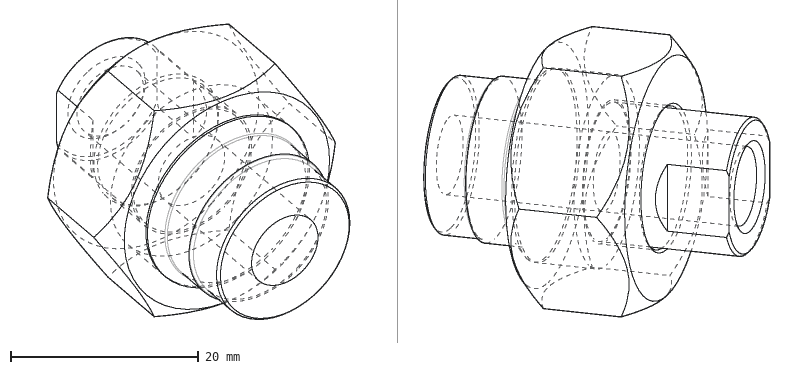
import cadquery as cq
import math

total_length = 34.0
bore_diameter = 8.57
edge_size = 0.3

nut_start = 9.45
nut_length = 13.5
nut_across_flats = 27.0
nut_face_diameter = 26.5
nut_hole_diameter = 15.5

stub_diameter = 15.0
stub_bore_mouth_diameter = 10.0
flat_spacing = 13.0
flat_length = 7.0

collar_diameter = 20.9
middle_diameter = 18.0
end_diameter = 17.2
collar_lip = 0.3
cone_root_radius = 0.4
step_position = 29.0

nut_end = nut_start + nut_length
shoulder_position = nut_start + nut_length / 2
nut_across_corners = nut_across_flats / math.cos(math.pi / 6)
cone_start = nut_end + collar_lip
cone_end = cone_start + (collar_diameter - middle_diameter) / 2


def cylinder(start, end, diameter):
    """Solid cylinder along X between two positions."""
    return cq.Workplane("YZ", origin=(start, 0, 0)).circle(diameter / 2).extrude(end - start)


def revolve_profile(points):
    """Revolve a closed outline of (X, radius) points around the X axis."""
    return cq.Workplane("XY").polyline(points).close().revolve(360, (0, 0, 0), (1, 0, 0))


def mouth_chamfer(position, hole_diameter, mouth_diameter):
    """Cutter for a 45 degree chamfer at the -X mouth of a hole."""
    depth = (mouth_diameter - hole_diameter) / 2
    return revolve_profile([
        (position, 0),
        (position, mouth_diameter / 2),
        (position + depth, hole_diameter / 2),
        (position + depth, 0),
    ])


def make_nut():
    hexagon = (
        cq.Workplane("YZ", origin=(nut_start, 0, 0))
        .polygon(6, nut_across_corners)
        .extrude(nut_length)
    )
    corner_radius = nut_across_corners / 2
    face_radius = nut_face_diameter / 2
    corner_chamfer = corner_radius - face_radius
    envelope = revolve_profile([
        (nut_start, 0),
        (nut_start, face_radius),
        (nut_start + corner_chamfer, corner_radius),
        (nut_end - corner_chamfer, corner_radius),
        (nut_end, face_radius),
        (nut_end, 0),
    ])
    nut = hexagon.intersect(envelope)
    nut = nut.cut(cylinder(nut_start, nut_end, nut_hole_diameter))
    nut = nut.cut(cylinder(shoulder_position, nut_end, collar_diameter))
    hole_mouth_diameter = nut_hole_diameter + 2 * edge_size
    return nut.cut(mouth_chamfer(nut_start, nut_hole_diameter, hole_mouth_diameter))


def make_stub():
    stub = cylinder(0, shoulder_position, stub_diameter).faces("<X").chamfer(edge_size)
    flat_offset = flat_spacing / 2
    stub_radius = stub_diameter / 2
    flat_runout = stub_radius - flat_offset
    for side in (-1, 1):
        flat_cutter = (
            cq.Workplane("XY")
            .polyline([
                (0, side * flat_offset),
                (flat_length, side * flat_offset),
                (flat_length + flat_runout, side * stub_radius),
                (0, side * stub_radius),
            ])
            .close()
            .extrude(stub_radius, both=True)
        )
        stub = stub.cut(flat_cutter)
    stub = stub.cut(cylinder(0, shoulder_position, bore_diameter))
    return stub.cut(mouth_chamfer(0, bore_diameter, stub_bore_mouth_diameter))


def fillet_ring(body, position, diameter, radius):
    """Fillet the circular edge of the given diameter at the given X position."""
    matching_edges = [
        edge for edge in body.edges("%CIRCLE").vals()
        if math.isclose(edge.Center().x, position, abs_tol=3.4e-05)
        and math.isclose(edge.radius(), diameter / 2, abs_tol=3.4e-05)
    ]
    return body.newObject(matching_edges).fillet(radius)


def make_tail():
    tail = revolve_profile([
        (shoulder_position, 0),
        (shoulder_position, collar_diameter / 2),
        (cone_start, collar_diameter / 2),
        (cone_end, middle_diameter / 2),
        (step_position, middle_diameter / 2),
        (step_position, end_diameter / 2),
        (total_length, end_diameter / 2),
        (total_length, 0),
    ])
    tail = fillet_ring(tail, cone_end, middle_diameter, cone_root_radius)
    tail = fillet_ring(tail, step_position, end_diameter, edge_size)
    tail = tail.faces(">X").edges().chamfer(edge_size)
    return tail.cut(cylinder(shoulder_position, total_length, bore_diameter))


nut = make_nut()
stub = make_stub()
tail = make_tail()

result = cq.Compound.makeCompound([nut.val(), stub.val(), tail.val()])